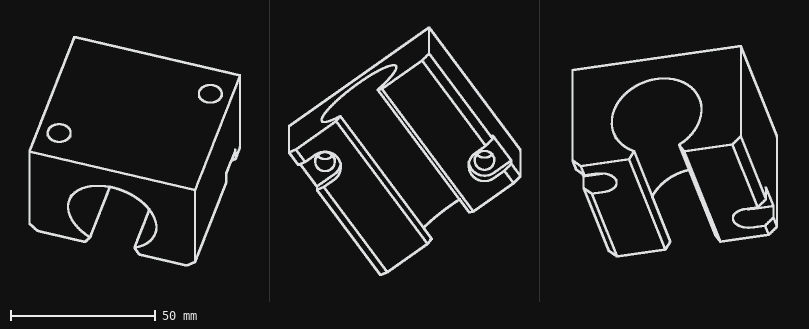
import cadquery as cq
import math

length_x = 60.0
width_y = 54.0
height_z = 42.0
bottom_chamfer = 3.0

bore_diameter = 32.0
bore_height = 17.0
opening_angle = 60.0

hole_x = 22.5
hole_y = 16.0
hole_diameter = 6.8
hole_top_diameter = 8.0
hole_top_depth = 16.0

slot_width = 11.0
slot_height = 8.0


def make_block():
    block = cq.Workplane("XY").box(length_x, width_y, height_z, centered=(True, True, False))
    return block.faces("<Z").edges("|Y").chamfer(bottom_chamfer)


def make_shaft_opening():
    half_opening = bore_height * math.tan(math.radians(opening_angle / 2))
    profile_plane = cq.Workplane("XZ", origin=(0, width_y / 2, 0))
    bore = profile_plane.center(0, bore_height).circle(bore_diameter / 2).extrude(width_y)
    wedge = (
        profile_plane.moveTo(0, bore_height)
        .lineTo(half_opening, 0)
        .lineTo(-half_opening, 0)
        .close()
        .extrude(width_y)
    )
    return bore.union(wedge)


def make_mounting_cut(side):
    """Stepped hole and side slot; side is -1 for the -X, -Y hole and 1 for the +X, +Y hole."""
    x = side * hole_x
    y = side * hole_y
    through_hole = cq.Workplane("XY").center(x, y).circle(hole_diameter / 2).extrude(height_z)
    top_step = (
        cq.Workplane("XY", origin=(x, y, height_z - hole_top_depth))
        .circle(hole_top_diameter / 2)
        .extrude(hole_top_depth)
    )
    slot_end = cq.Workplane("XY").center(x, y).circle(slot_width / 2).extrude(slot_height)
    slot_run = length_x / 2 - hole_x
    slot_body = (
        cq.Workplane("XY")
        .center(x + side * slot_run / 2, y)
        .rect(slot_run, slot_width)
        .extrude(slot_height)
    )
    return through_hole.union(top_step).union(slot_end).union(slot_body)


result = make_block().cut(make_shaft_opening())
for side in (-1, 1):
    result = result.cut(make_mounting_cut(side))